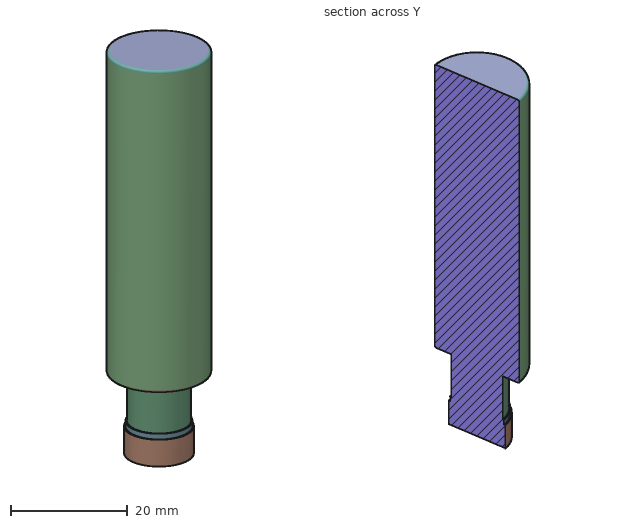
import cadquery as cq

total_length = 75.0
body_diameter = 18.0
body_length = 60.0
body_edge_radius = 0.5
neck_diameter = 11.0
collar_diameter = 11.5
collar_height = 1.0
plug_diameter = 12.0
plug_length = 5.0

body_bottom = total_length - body_length
collar_top = plug_length + collar_height
neck_length = body_bottom - collar_top


def cylinder(diameter, bottom, length):
    """Cylinder on the Z axis, rising from the height `bottom`."""
    return cq.Workplane("XY").workplane(offset=bottom).circle(diameter / 2).extrude(length)


def make_body():
    """Main barrel with both end edges rounded."""
    barrel = cylinder(body_diameter, body_bottom, body_length)
    return barrel.faces("<Z or >Z").edges().fillet(body_edge_radius)


def make_connector():
    """Stepped end below the barrel: plug, narrower collar, then the neck."""
    plug = cylinder(plug_diameter, 0, plug_length)
    collar = cylinder(collar_diameter, plug_length, collar_height)
    neck = cylinder(neck_diameter, collar_top, neck_length)
    return plug.union(collar).union(neck)


result = make_body().union(make_connector())